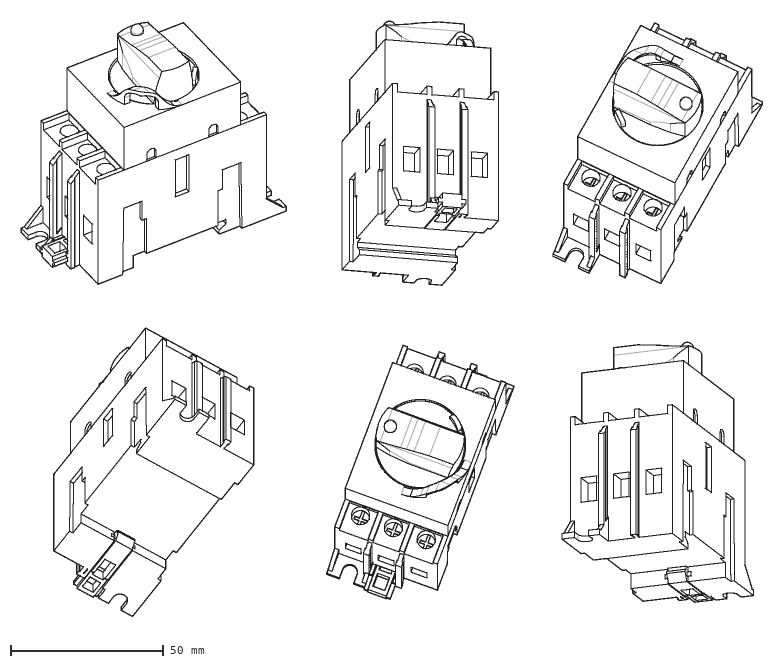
import cadquery as cq

WIDTH = 36.0
HALF_WIDTH = WIDTH / 2
BODY_HALF_LENGTH = 32.4
BODY_TOP = 44.3

POLE_PITCH = 11.5
POLE_CENTRES = [-POLE_PITCH, 0, POLE_PITCH]
SHELF_Z = 41.5
SHELF_INNER_Y = 22.6
OUTER_WALL = 1.6
DIVIDER_INNER_X = 4.6
DIVIDER_OUTER_X = 6.3
SCREW_Y = 25.4
SCREW_HOLE_D = 6.0
SCREW_HOLE_DEPTH = 6.5
SCREW_SLOT_WIDTH = 0.9
SCREW_SLOT_SHORT = 4.4
SCREW_SLOT_DEPTH = 0.8
WINDOW_WIDTH = 5.5
WINDOW_BOTTOM = 14.5
WINDOW_TOP = 22.9
WINDOW_DEPTH = 6.5

RIB_TIP_Y = 36.0
RIB_FLANGE_Y = 34.4
RIB_STEM_INNER_X = 4.9
RIB_FLANGE_OUTER_X = 6.65
RIB_ROOT_Z = 39.7

FOOT_TIP_Y = 40.0
FOOT_THICKNESS = 1.95
FOOT_SLOT_X = 11.0
FOOT_SLOT_WIDTH = 5.0
FOOT_SLOT_CENTRE_Y = 36.9
GUSSET_ROOT_Z = 8.35
GUSSET_THICKNESS = 1.45

RAIL_CEILING = 5.1
RAIL_FRONT_Y = -18.1
RAIL_BACK_Y = 17.6
HOOK_TIP_Y = 15.0
HOOK_TIP_Z = 1.8
HOOK_ROOT_Z = 3.3

SIDE_SLOT_WIDTH = 5.2
SIDE_SLOT_BOTTOM = 24.4
SIDE_SLOT_TOP = 40.1
SIDE_SLOT_DEPTH = 1.6
LEG_POCKET_DEPTH = 1.3
LEG_POCKET_TOP = 28.1
LEG_POCKET_STEP_Z = 19.9
LEG_POCKET_OUTER_TOP_Y = 22.5
LEG_POCKET_OUTER_BOTTOM_Y = 22.9
LEG_POCKET_UPPER_INNER_Y = 15.5
LEG_POCKET_LOWER_INNER_Y = 13.8

LATCH_TIP_Y = -41.0
LATCH_HALF_WIDTH = 3.2
LATCH_GAP = 0.3
LATCH_LIFT = 0.5
LATCH_LIFT_END_Y = -32.4
LATCH_BACK_Y = -17.0
LATCH_NOSE_Y = -16.0
LATCH_NOSE_TOP = 3.7
LATCH_NOSE_BOTTOM = 3.0
LATCH_NOSE_FOOT_Y = -17.8
WING_BOTTOM = 1.95
WING_TOP = 3.4
LATCH_WINDOW_WIDTH = 4.2
LATCH_WINDOWS = [(-39.4, -34.8), (-33.45, -25.9)]

COVER_HALF_LENGTH = 22.4
COVER_TOP = 62.45
KNOB_BORE_R = 14.9
KNOB_BORE_DEPTH = 2.4
NOTCH_WIDTH = 3.5
NOTCH_Y = 11.9
NOTCH_TOP = 48.85
NOTCH_DEPTH = 0.8

LOOP_OUTER_R = HALF_WIDTH
LOOP_INNER_R = 15.4
LOOP_TOP = 69.75
LOOP_HOLE_CENTRE = 11.0
LOOP_HOLE_WIDTH = 6.1
LOOP_HOLE_TOP = 68.4

KNOB_R = 14.5
DISC_TOP = 61.9
GRIP_TOP = 75.7
GRIP_EDGE_Z = 72.8
GRIP_EDGE_HALF = 5.9
GRIP_TOP_HALF = 5.2
GRIP_CREASE_LEFT_Z = 64.9
GRIP_CREASE_RIGHT_Z = 62.85
GRIP_FOOT_HALF = 7.45
GRIP_NOSE_Z = 73.1
GRIP_BULGE_HALF = 7.0
BUTTON_X = -10.45
BUTTON_R = 2.0
BUTTON_TOP = 76.2
STOP_ANGLE = 51.0
STOP_INNER_R = 13.0
STOP_WIDTH = 5.35
STOP_TOP = 66.5


def box(x0, x1, y0, y1, z0, z1):
    """Box between opposite corners."""
    return cq.Workplane("XY").box(x1 - x0, y1 - y0, z1 - z0, centered=False).translate((x0, y0, z0))


def side_plate(points, x0, x1):
    """Outline of (y, z) points, extruded from x0 to x1."""
    return cq.Workplane("YZ").polyline(points).close().extrude(x1 - x0).translate((x0, 0, 0))


def arch(plane, width, bottom, top, depth):
    """Upright block with a half-round top, centred on the Z axis and extruded from the plane."""
    half = width / 2
    return (
        cq.Workplane(plane)
        .moveTo(-half, bottom)
        .lineTo(-half, top - half)
        .threePointArc((0, top), (half, top - half))
        .lineTo(half, bottom)
        .close()
        .extrude(depth)
    )


def both_ends(shape):
    """The shape and its copy turned half a turn about Z."""
    return [shape, shape.rotate((0, 0, 0), (0, 0, 1), 180)]


def barrier_rib(side):
    """T-shaped rib on the front face; side is -1 (left) or 1 (right)."""
    front = -BODY_HALF_LENGTH
    plan = [
        (RIB_STEM_INNER_X, front),
        (RIB_STEM_INNER_X, -RIB_FLANGE_Y),
        (DIVIDER_INNER_X, -RIB_FLANGE_Y),
        (DIVIDER_INNER_X, -RIB_TIP_Y),
        (RIB_FLANGE_OUTER_X, -RIB_TIP_Y),
        (RIB_FLANGE_OUTER_X, -RIB_FLANGE_Y),
        (DIVIDER_OUTER_X, -RIB_FLANGE_Y),
        (DIVIDER_OUTER_X, front),
    ]
    rib = cq.Workplane("XY").polyline([(side * x, y) for x, y in plan]).close().extrude(RIB_ROOT_Z)
    rib_tip_z = RIB_ROOT_Z - (RIB_TIP_Y - BODY_HALF_LENGTH)
    slope = [(front, 0), (front, RIB_ROOT_Z), (-RIB_TIP_Y, rib_tip_z), (-RIB_TIP_Y, 0)]
    return rib.intersect(side_plate(slope, -HALF_WIDTH, HALF_WIDTH))


def mounting_foot():
    """Slotted foot with a gusset on each edge, at the front left corner."""
    front = -BODY_HALF_LENGTH
    foot = box(-HALF_WIDTH, -DIVIDER_INNER_X, -FOOT_TIP_Y, front, 0, FOOT_THICKNESS)
    gusset_tip_y = front - (GUSSET_ROOT_Z - FOOT_THICKNESS)
    gusset = [(front, 0), (front, GUSSET_ROOT_Z), (gusset_tip_y, FOOT_THICKNESS), (gusset_tip_y, 0)]
    for left_x in (-HALF_WIDTH, -DIVIDER_INNER_X - GUSSET_THICKNESS):
        foot = foot.union(side_plate(gusset, left_x, left_x + GUSSET_THICKNESS))
    slot_length = 2 * (FOOT_TIP_Y - FOOT_SLOT_CENTRE_Y) + FOOT_SLOT_WIDTH
    slot = (
        cq.Workplane("XY")
        .center(-FOOT_SLOT_X, -FOOT_TIP_Y)
        .slot2D(slot_length, FOOT_SLOT_WIDTH, 90)
        .extrude(FOOT_THICKNESS)
    )
    return foot.cut(slot)


def terminal_cut(pole_x):
    """Screw hole with a cross slot in its floor, and wire window, of one pole on the front end."""
    floor_z = SHELF_Z - SCREW_HOLE_DEPTH
    slot_z = floor_z - SCREW_SLOT_DEPTH
    hole = cq.Workplane("XY").workplane(offset=floor_z).circle(SCREW_HOLE_D / 2).extrude(SCREW_HOLE_DEPTH)
    cross = (
        cq.Workplane("XY")
        .workplane(offset=slot_z)
        .rect(SCREW_SLOT_SHORT, SCREW_SLOT_WIDTH)
        .extrude(SCREW_SLOT_DEPTH)
        .union(
            cq.Workplane("XY")
            .workplane(offset=slot_z)
            .rect(SCREW_SLOT_WIDTH, SCREW_HOLE_D)
            .extrude(SCREW_SLOT_DEPTH)
        )
    )
    front = -BODY_HALF_LENGTH
    half = WINDOW_WIDTH / 2
    window = box(pole_x - half, pole_x + half, front, front + WINDOW_DEPTH, WINDOW_BOTTOM, WINDOW_TOP)
    return hole.union(cross).translate((pole_x, -SCREW_Y, 0)).union(window)


def terminal_shelves():
    """Lowered shelves between the divider walls on the front end."""
    wall_x = HALF_WIDTH - OUTER_WALL
    spans = [
        (-wall_x, -DIVIDER_OUTER_X),
        (-DIVIDER_INNER_X, DIVIDER_INNER_X),
        (DIVIDER_OUTER_X, wall_x),
    ]
    return [box(x0, x1, -BODY_HALF_LENGTH, -SHELF_INNER_Y, SHELF_Z, BODY_TOP) for x0, x1 in spans]


def rail_channel():
    """Channel for the mounting rail, undercut by the fixed hook at the back."""
    outline = [
        (RAIL_FRONT_Y, 0),
        (RAIL_FRONT_Y, RAIL_CEILING),
        (RAIL_BACK_Y, RAIL_CEILING),
        (RAIL_BACK_Y, HOOK_ROOT_Z),
        (HOOK_TIP_Y, HOOK_TIP_Z),
        (HOOK_TIP_Y, 0),
    ]
    return side_plate(outline, -HALF_WIDTH, HALF_WIDTH)


def latch_guide():
    """Guideway of the latch from the front end to the rail channel."""
    half = LATCH_HALF_WIDTH + LATCH_GAP
    bar_way = box(-half, half, -RIB_TIP_Y, RAIL_FRONT_Y, 0, RAIL_CEILING)
    wing_way = box(-DIVIDER_INNER_X, DIVIDER_INNER_X, -RIB_TIP_Y, RAIL_FRONT_Y, WING_BOTTOM, WING_TOP)
    return bar_way.union(wing_way)


def side_recesses():
    """Middle slot and two leg pockets sunk into the left side face."""
    half = SIDE_SLOT_WIDTH / 2
    slot_x = -HALF_WIDTH + SIDE_SLOT_DEPTH
    slot = box(-HALF_WIDTH, slot_x, -half, half, SIDE_SLOT_BOTTOM, SIDE_SLOT_TOP)
    pocket = [
        (LEG_POCKET_OUTER_BOTTOM_Y, 0),
        (LEG_POCKET_OUTER_TOP_Y, LEG_POCKET_TOP),
        (LEG_POCKET_UPPER_INNER_Y, LEG_POCKET_TOP),
        (LEG_POCKET_UPPER_INNER_Y, LEG_POCKET_STEP_Z),
        (LEG_POCKET_LOWER_INNER_Y, LEG_POCKET_STEP_Z),
        (LEG_POCKET_LOWER_INNER_Y, 0),
    ]
    back = side_plate(pocket, -HALF_WIDTH, -HALF_WIDTH + LEG_POCKET_DEPTH)
    return [slot, back, back.mirror("XZ")]


def make_housing():
    housing = box(-HALF_WIDTH, HALF_WIDTH, -BODY_HALF_LENGTH, BODY_HALF_LENGTH, 0, BODY_TOP)
    for addition in (barrier_rib(-1), barrier_rib(1), mounting_foot()):
        for copy in both_ends(addition):
            housing = housing.union(copy)
    guide_block = box(
        -DIVIDER_INNER_X, DIVIDER_INNER_X, -RIB_TIP_Y, -BODY_HALF_LENGTH, 0, RAIL_CEILING
    )
    housing = housing.union(guide_block)

    mirrored_cuts = terminal_shelves() + [terminal_cut(x) for x in POLE_CENTRES] + side_recesses()
    for cutter in mirrored_cuts:
        for copy in both_ends(cutter):
            housing = housing.cut(copy)
    return housing.cut(rail_channel()).cut(latch_guide())


def make_latch():
    outline = [
        (LATCH_TIP_Y, LATCH_LIFT),
        (LATCH_TIP_Y, RAIL_CEILING),
        (LATCH_BACK_Y, RAIL_CEILING),
        (LATCH_BACK_Y, LATCH_NOSE_TOP),
        (LATCH_NOSE_Y, LATCH_NOSE_TOP),
        (LATCH_NOSE_Y, LATCH_NOSE_BOTTOM),
        (LATCH_NOSE_FOOT_Y, 0),
        (LATCH_LIFT_END_Y, 0),
        (LATCH_LIFT_END_Y, LATCH_LIFT),
    ]
    latch = side_plate(outline, -LATCH_HALF_WIDTH, LATCH_HALF_WIDTH)
    wings = box(-DIVIDER_INNER_X, DIVIDER_INNER_X, LATCH_TIP_Y, RAIL_FRONT_Y, WING_BOTTOM, WING_TOP)
    latch = latch.union(wings)
    half = LATCH_WINDOW_WIDTH / 2
    for y0, y1 in LATCH_WINDOWS:
        latch = latch.cut(box(-half, half, y0, y1, 0, RAIL_CEILING))
    return latch


def loop_ramp():
    """Side outline of the padlock loop in XZ, rising from X = 0 to a flat top, extruded along Y."""
    return (
        cq.Workplane("XZ")
        .moveTo(0, COVER_TOP)
        .lineTo(3.0, 63.2)
        .threePointArc((4.9, 64.55), (6.3, 66.25))
        .lineTo(7.9, 68.45)
        .threePointArc((9.2, 69.4), (10.8, LOOP_TOP))
        .lineTo(WIDTH, LOOP_TOP)
        .lineTo(WIDTH, COVER_TOP)
        .close()
        .extrude(WIDTH)
    )


def mirrored_in_diagonal(shape):
    """The shape mirrored in the plane X = -Y."""
    return shape.rotate((0, 0, 0), (0, 0, 1), 90).mirror("XZ")


def padlock_loop():
    """Quarter ring with the same ramp at both ends and arched shackle holes along Y and along X."""
    ring = (
        cq.Workplane("XY")
        .workplane(offset=COVER_TOP)
        .circle(LOOP_OUTER_R)
        .circle(LOOP_INNER_R)
        .extrude(LOOP_TOP - COVER_TOP)
    )
    ramp = loop_ramp()
    loop = ramp.intersect(mirrored_in_diagonal(ramp)).intersect(ring)
    hole = arch("XZ", LOOP_HOLE_WIDTH, COVER_TOP, LOOP_HOLE_TOP, WIDTH)
    hole = hole.translate((LOOP_HOLE_CENTRE, 0, 0))
    return loop.cut(hole).cut(mirrored_in_diagonal(hole))


def side_notch():
    """Round-topped notch at the foot of the left side face."""
    return arch("YZ", NOTCH_WIDTH, BODY_TOP, NOTCH_TOP, NOTCH_DEPTH).translate((-HALF_WIDTH, 0, 0))


def make_cover():
    cover = box(-HALF_WIDTH, HALF_WIDTH, -COVER_HALF_LENGTH, COVER_HALF_LENGTH, BODY_TOP, COVER_TOP)
    bore = cq.Workplane("XY").workplane(offset=COVER_TOP - KNOB_BORE_DEPTH)
    cover = cover.cut(bore.circle(KNOB_BORE_R).extrude(KNOB_BORE_DEPTH))
    for y in (-NOTCH_Y, NOTCH_Y):
        for copy in both_ends(side_notch().translate((0, y, 0))):
            cover = cover.cut(copy)
    return cover.union(padlock_loop())


def knob_cylinder(bottom, top):
    return cq.Workplane("XY").workplane(offset=bottom).circle(KNOB_R).extrude(top - bottom)


def grip_section(x, crease_z):
    """Cross-section wire of the grip at x: bulging sides between the top edge and lower crease."""
    bulge_z = (GRIP_EDGE_Z + crease_z) / 2
    return (
        cq.Workplane("YZ")
        .workplane(offset=x)
        .moveTo(-GRIP_FOOT_HALF, DISC_TOP)
        .lineTo(-GRIP_FOOT_HALF, crease_z)
        .threePointArc((-GRIP_BULGE_HALF, bulge_z), (-GRIP_EDGE_HALF, GRIP_EDGE_Z))
        .lineTo(-GRIP_TOP_HALF, GRIP_TOP)
        .lineTo(GRIP_TOP_HALF, GRIP_TOP)
        .lineTo(GRIP_EDGE_HALF, GRIP_EDGE_Z)
        .threePointArc((GRIP_BULGE_HALF, bulge_z), (GRIP_FOOT_HALF, crease_z))
        .lineTo(GRIP_FOOT_HALF, DISC_TOP)
        .close()
        .wire()
        .val()
    )


def grip():
    """Handle bar: cross-section, plan and top line intersected, ending on the knob's cylinder."""
    left = grip_section(-KNOB_R, GRIP_CREASE_LEFT_Z)
    right = grip_section(KNOB_R, GRIP_CREASE_RIGHT_Z)
    section = cq.Workplane(cq.Solid.makeLoft([left, right], True))
    taper = [(-13.2, GRIP_EDGE_HALF), (-8.3, 6.9), (-1.2, GRIP_FOOT_HALF), (KNOB_R, GRIP_FOOT_HALF)]
    left_side = [(-KNOB_R, GRIP_EDGE_HALF)] + taper
    right_side = [(x, -y) for x, y in reversed(left_side)]
    plan = (
        cq.Workplane("XY")
        .workplane(offset=DISC_TOP)
        .polyline(left_side + right_side)
        .close()
        .extrude(GRIP_TOP - DISC_TOP)
    )
    top_line = [(-11.9, GRIP_NOSE_Z), (-4.9, 74.1), (-2.75, 74.6), (-0.2, 75.0), (5.1, GRIP_TOP)]
    ends = [(KNOB_R, GRIP_TOP), (KNOB_R, DISC_TOP), (-KNOB_R, DISC_TOP), (-KNOB_R, GRIP_NOSE_Z)]
    profile = cq.Workplane("XZ").polyline(top_line + ends).close().extrude(GRIP_FOOT_HALF, both=True)
    return section.intersect(plan).intersect(profile).intersect(knob_cylinder(DISC_TOP, GRIP_TOP))


def button():
    """Domed indicator pin on the low end of the grip."""
    dome_z = BUTTON_TOP - BUTTON_R
    pin = (
        cq.Workplane("XZ")
        .moveTo(0, GRIP_EDGE_Z)
        .lineTo(BUTTON_R, GRIP_EDGE_Z)
        .lineTo(BUTTON_R, dome_z)
        .radiusArc((0, BUTTON_TOP), -BUTTON_R)
        .close()
        .revolve(360, (0, 0), (0, 1))
    )
    return pin.translate((BUTTON_X, 0, 0))


def stop_tab():
    """Round-topped tab at the rim of the disc."""
    bar = arch("YZ", STOP_WIDTH, DISC_TOP, STOP_TOP, KNOB_R).rotate((0, 0, 0), (0, 0, 1), STOP_ANGLE)
    core = cq.Workplane("XY").workplane(offset=DISC_TOP).circle(STOP_INNER_R).extrude(STOP_TOP - DISC_TOP)
    return bar.intersect(knob_cylinder(DISC_TOP, STOP_TOP)).cut(core)


def make_knob():
    disc = knob_cylinder(COVER_TOP - KNOB_BORE_DEPTH, DISC_TOP)
    return disc.union(grip()).union(button()).union(stop_tab())


housing = make_housing()
latch = make_latch()
cover = make_cover()
knob = make_knob()

result = cq.Compound.makeCompound([housing.val(), latch.val(), cover.val(), knob.val()])